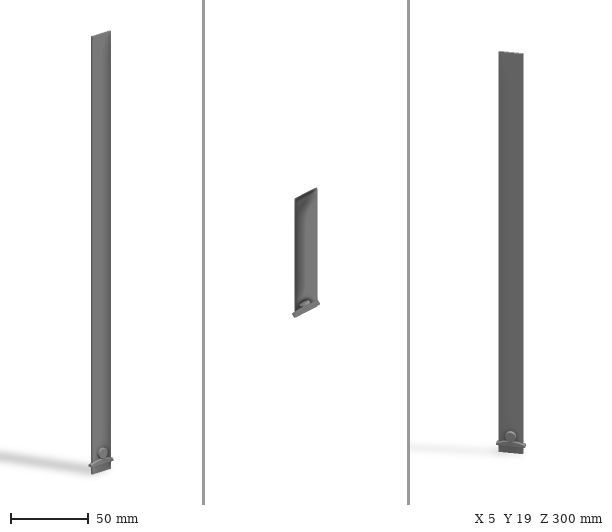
import cadquery as cq

strip_length = 300
strip_width = 16.0
strip_thickness = 1.2

button_diameter = 7.2
button_length = 5.0
button_center_height = 13.0
button_chamfer = 0.3

guard_span = 19.0
guard_thickness = 3.0
guard_bottom = 5.5
guard_end_top = 7.2
guard_peak_top = 9.3
guard_chamfer = 0.5


def make_button():
    """Cylinder along X with chamfered rims, centered on the strip."""
    return (
        cq.Workplane("YZ", origin=(-button_length / 2, 0, button_center_height))
        .circle(button_diameter / 2)
        .extrude(button_length)
        .faces("<X or >X")
        .chamfer(button_chamfer)
    )


def make_guard_blank():
    """Crosspiece with an arched top, chamfered along both edges of the arch."""
    half_span = guard_span / 2
    return (
        cq.Workplane("YZ", origin=(-guard_thickness / 2, 0, 0))
        .moveTo(-half_span, guard_bottom)
        .lineTo(half_span, guard_bottom)
        .lineTo(half_span, guard_end_top)
        .threePointArc((0, guard_peak_top), (-half_span, guard_end_top))
        .close()
        .extrude(guard_thickness)
        .faces("<X or >X")
        .edges("%CIRCLE")
        .chamfer(guard_chamfer)
    )


def make_strip_blank():
    """Plain strip rising from Z = 0."""
    return cq.Workplane("XY").box(
        strip_thickness, strip_width, strip_length, centered=(True, True, False)
    )


button = make_button()
strip = make_strip_blank().cut(button)
guard = make_guard_blank().cut(make_strip_blank()).cut(button)

result = cq.Compound.makeCompound([strip.val(), button.val(), guard.val()])